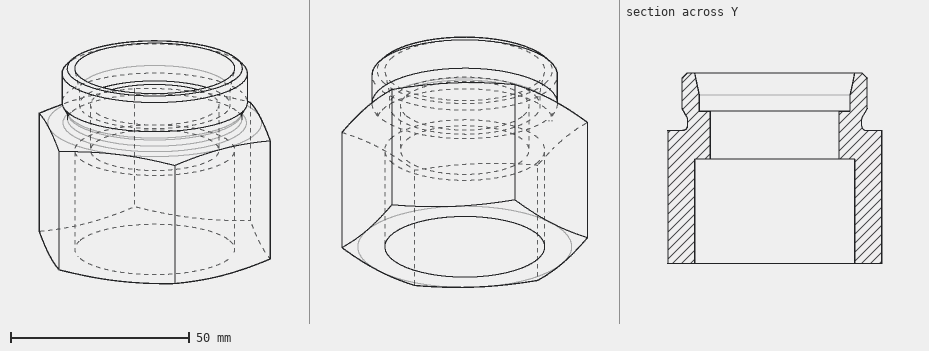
import cadquery as cq
import math

across_corners = 69.3
across_flats = across_corners * math.cos(math.radians(30))
hex_height = 37.4
hex_turn = 89.85
envelope_margin = 0.7
corner_chamfer_angle = 15.0

total_height = 53.5
spigot_diameter = 52.0
spigot_chamfer = 1.45
spigot_bottom = 43.45
neck_diameter = 49.0
undercut_angle = 30.0
neck_fillet = 1.25

cone_mouth_diameter = 44.8
seat_diameter = 42.25
cone_half_angle = 11.7
seat_floor = 42.75
bore_diameter = 36.0
bore_bottom = 29.3
lower_bore_diameter = 44.8


def make_hexagon():
    """Hexagonal prism whose corners are trimmed by a cone at both ends."""
    prism = (
        cq.Workplane("XY")
        .polygon(6, across_corners)
        .extrude(hex_height)
        .rotate((0, 0, 0), (0, 0, 1), hex_turn)
    )
    face_radius = across_flats / 2
    outer_radius = across_corners / 2 + envelope_margin
    drop = (outer_radius - face_radius) * math.tan(math.radians(corner_chamfer_angle))
    envelope = (
        cq.Workplane("XZ")
        .moveTo(0, 0)
        .lineTo(face_radius, 0)
        .lineTo(outer_radius, drop)
        .lineTo(outer_radius, hex_height - drop)
        .lineTo(face_radius, hex_height)
        .lineTo(0, hex_height)
        .close()
        .revolve(360, (0, 0), (0, 1))
    )
    return prism.intersect(envelope)


def make_spigot():
    """Round spigot with a chamfered rim, an undercut neck and a root fillet."""
    spigot_radius = spigot_diameter / 2
    neck_radius = neck_diameter / 2
    arc_offset = neck_fillet * (1 - math.sqrt(0.5))

    slope = math.radians(undercut_angle)
    neck_top = spigot_bottom - (spigot_radius - neck_radius) / math.tan(slope)
    arc_start = neck_top - neck_fillet * math.tan(slope / 2)

    def blend_point(angle):
        return (
            neck_radius + neck_fillet * (1 - math.cos(angle)),
            arc_start + neck_fillet * math.sin(angle),
        )

    return (
        cq.Workplane("XZ")
        .moveTo(0, hex_height)
        .lineTo(neck_radius + neck_fillet, hex_height)
        .threePointArc(
            (neck_radius + arc_offset, hex_height + arc_offset),
            (neck_radius, hex_height + neck_fillet),
        )
        .lineTo(neck_radius, arc_start)
        .threePointArc(blend_point(slope / 2), blend_point(slope))
        .lineTo(spigot_radius, spigot_bottom)
        .lineTo(spigot_radius, total_height - spigot_chamfer)
        .lineTo(spigot_radius - spigot_chamfer, total_height)
        .lineTo(0, total_height)
        .close()
        .revolve(360, (0, 0), (0, 1))
    )


def make_bore():
    """Through bore: tapered mouth, seat, central bore and wider lower bore."""
    mouth_radius = cone_mouth_diameter / 2
    seat_radius = seat_diameter / 2
    cone_depth = (mouth_radius - seat_radius) / math.tan(math.radians(cone_half_angle))
    return (
        cq.Workplane("XZ")
        .moveTo(0, 0)
        .lineTo(lower_bore_diameter / 2, 0)
        .lineTo(lower_bore_diameter / 2, bore_bottom)
        .lineTo(bore_diameter / 2, bore_bottom)
        .lineTo(bore_diameter / 2, seat_floor)
        .lineTo(seat_radius, seat_floor)
        .lineTo(seat_radius, total_height - cone_depth)
        .lineTo(mouth_radius, total_height)
        .lineTo(0, total_height)
        .close()
        .revolve(360, (0, 0), (0, 1))
    )


result = make_hexagon().union(make_spigot()).cut(make_bore())